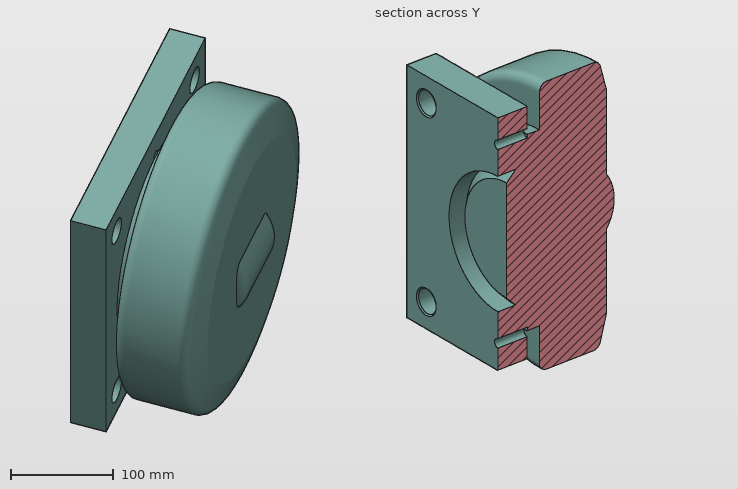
import cadquery as cq
import math

plate_size = 280.0
plate_thickness = 37.0
hole_offset = 110.0
bolt_hole_diameter = 27.0
bolt_hole_mouth_diameter = 30.0
bolt_hole_chamfer = (bolt_hole_mouth_diameter - bolt_hole_diameter) / 2
small_hole_diameter = 10.0

bore_radius = 75.0
cap_top_depth = 11.0
cap_chamfer = 11.0

hub_radius = 109.0
wheel_radius = 160.0
wheel_back = 52.0
wheel_front = 137.0
wheel_front_face_radius = 125.0
wheel_edge_radius = 10.0
front_taper = math.radians(15.0)

roller_radius = 52.0
roller_projection = 10.0
roller_half_length = 44.0
roller_edge_radius = 10.0


def turn_about_x(profile):
    return profile.revolve(360, (0, 0, 0), (1, 0, 0))


def make_plate():
    return cq.Workplane("YZ").rect(plate_size, plate_size).extrude(plate_thickness)


def make_wheel():
    """Hub and wheel as one turned body with rounded rims and a tapered front."""
    edge_center_r = wheel_radius - wheel_edge_radius
    back_edge_x = wheel_back + wheel_edge_radius
    taper_start_r = edge_center_r + wheel_edge_radius * math.sin(front_taper)
    taper_start_x = wheel_front - (taper_start_r - wheel_front_face_radius) * math.tan(front_taper)
    front_edge_x = taper_start_x - wheel_edge_radius * math.cos(front_taper)

    back_mid_angle = math.radians(45.0)
    back_mid = (
        back_edge_x - wheel_edge_radius * math.cos(back_mid_angle),
        edge_center_r + wheel_edge_radius * math.sin(back_mid_angle),
    )
    front_mid_angle = (math.radians(90.0) + front_taper) / 2
    front_mid = (
        front_edge_x + wheel_edge_radius * math.cos(front_mid_angle),
        edge_center_r + wheel_edge_radius * math.sin(front_mid_angle),
    )
    profile = (
        cq.Workplane("XY")
        .moveTo(plate_thickness, 0)
        .lineTo(plate_thickness, hub_radius)
        .lineTo(wheel_back, hub_radius)
        .lineTo(wheel_back, edge_center_r)
        .threePointArc(back_mid, (back_edge_x, wheel_radius))
        .lineTo(front_edge_x, wheel_radius)
        .threePointArc(front_mid, (taper_start_x, taper_start_r))
        .lineTo(wheel_front, wheel_front_face_radius)
        .lineTo(wheel_front, 0)
        .close()
    )
    return turn_about_x(profile)


def make_roller():
    """Rounded roller; all but its projecting crown is buried in the wheel."""
    axis_x = wheel_front + roller_projection - roller_radius
    return (
        cq.Workplane("XZ", origin=(axis_x, 0, 0))
        .circle(roller_radius)
        .extrude(roller_half_length, both=True)
        .edges("%CIRCLE")
        .fillet(roller_edge_radius)
    )


def make_bore():
    """Space between the bore wall and the cap, whose chamfer runs down to the wall."""
    profile = (
        cq.Workplane("XY")
        .lineTo(0, bore_radius)
        .lineTo(cap_top_depth + cap_chamfer, bore_radius)
        .lineTo(cap_top_depth, bore_radius - cap_chamfer)
        .lineTo(cap_top_depth, 0)
        .close()
    )
    return turn_about_x(profile)


def make_bolt_holes():
    """Four corner through holes, chamfered at the back of the plate."""
    profile = (
        cq.Workplane("XY")
        .lineTo(0, bolt_hole_mouth_diameter / 2)
        .lineTo(bolt_hole_chamfer, bolt_hole_diameter / 2)
        .lineTo(plate_thickness, bolt_hole_diameter / 2)
        .lineTo(plate_thickness, 0)
        .close()
    )
    bolt_hole = turn_about_x(profile)
    holes = cq.Workplane("XY")
    for y in (-hole_offset, hole_offset):
        for z in (-hole_offset, hole_offset):
            holes = holes.add(bolt_hole.translate((0, y, z)))
    return holes.combine()


def make_small_holes():
    return (
        cq.Workplane("YZ")
        .pushPoints([(0, -hole_offset), (0, hole_offset)])
        .circle(small_hole_diameter / 2)
        .extrude(plate_thickness)
    )


plate = make_plate().cut(make_bore()).cut(make_bolt_holes()).cut(make_small_holes())
result = plate.union(make_wheel()).union(make_roller())